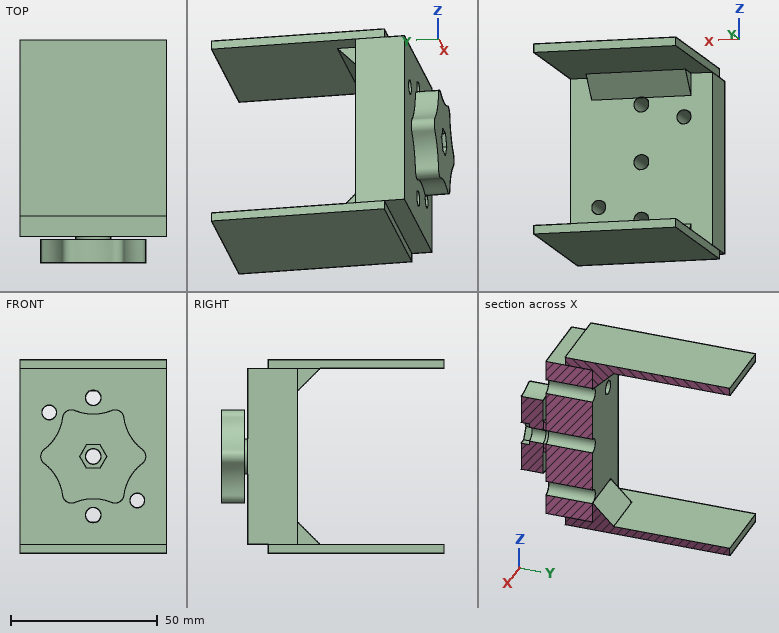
import cadquery as cq
import math

width = 50.0
block_height = 60.0
block_depth = 17.0
plate_length = 60.0
plate_thickness = 3.0
plate_overlap = 10.0

gusset_leg = 7.7
gusset_width = 35.0

axis_hole_diameter = 5.2
axis_hole_pitch = 20.0
corner_hole_diameter = 4.9
corner_hole_offset = 15.0

washer_diameter = 12.0
washer_thickness = 1.0
knob_thickness = 8.0
knob_lobes = 6
lobe_circle_radius = 14.9
lobe_radius = 3.0
valley_radius = 14.4
hex_across_flats = 8.0
hex_across_corners = hex_across_flats / math.cos(math.radians(30))
hex_depth = 3.0

block_back = block_depth
plate_front = block_depth - plate_overlap
knob_back = -washer_thickness
knob_front = knob_back - knob_thickness

lobe_step = 360.0 / knob_lobes
half_step = math.radians(lobe_step / 2)
spread_along = lobe_circle_radius * math.cos(half_step)
valley_arc_radius = (
    (lobe_circle_radius**2 + valley_radius**2 - 2 * spread_along * valley_radius - lobe_radius**2)
    / (2 * (lobe_radius + spread_along - valley_radius))
)
valley_centre_radius = valley_radius + valley_arc_radius
lobe_flare = math.degrees(
    math.atan2(
        valley_centre_radius * math.sin(half_step),
        valley_centre_radius * math.cos(half_step) - lobe_circle_radius,
    )
)


def rod(diameter, start, length, x=0.0, z=0.0):
    """Cylinder along +Y from the given start station."""
    base = cq.Workplane("XZ", origin=(x, start, z)).circle(diameter / 2)
    return base.extrude(-length)


def make_block():
    block = cq.Workplane("XY").box(width, block_depth, block_height, centered=(True, False, True))
    for z in (-axis_hole_pitch, 0.0, axis_hole_pitch):
        block = block.cut(rod(axis_hole_diameter, 0.0, block_depth, z=z))
    for side in (-1, 1):
        offset = side * corner_hole_offset
        block = block.cut(rod(corner_hole_diameter, 0.0, block_depth, x=offset, z=-offset))
    return block


def make_plate(side):
    """Plate with its gusset; side is +1 above the block and -1 below it."""
    inner = side * block_height / 2
    plate = (
        cq.Workplane("XY")
        .box(width, plate_length, plate_thickness, centered=(True, False, True))
        .translate((0, plate_front, inner + side * plate_thickness / 2))
    )
    gusset = (
        cq.Workplane("YZ")
        .moveTo(block_back, inner)
        .lineTo(block_back + gusset_leg, inner)
        .lineTo(block_back, inner - side * gusset_leg)
        .close()
        .extrude(gusset_width / 2, both=True)
    )
    return plate.union(gusset)


def make_washer():
    washer = rod(washer_diameter, knob_back, washer_thickness)
    return washer.cut(rod(axis_hole_diameter, knob_back, washer_thickness))


def polar(radius, degrees):
    angle = math.radians(degrees)
    return (radius * math.cos(angle), radius * math.sin(angle))


def lobe_point(lobe_angle, turn):
    """Point on a lobe tip arc, turned from the lobe's own radial direction."""
    centre = polar(lobe_circle_radius, lobe_angle)
    reach = polar(lobe_radius, lobe_angle + turn)
    return (centre[0] + reach[0], centre[1] + reach[1])


def make_knob():
    outline = cq.Workplane("XZ", origin=(0, knob_back, 0)).moveTo(*lobe_point(0.0, -lobe_flare))
    for i in range(knob_lobes):
        angle = i * lobe_step
        next_angle = angle + lobe_step
        outline = outline.threePointArc(lobe_point(angle, 0.0), lobe_point(angle, lobe_flare))
        valley = polar(valley_radius, angle + lobe_step / 2)
        outline = outline.threePointArc(valley, lobe_point(next_angle, -lobe_flare))
    knob = outline.close().extrude(knob_thickness)
    hex_recess = (
        cq.Workplane("XZ", origin=(0, knob_front, 0))
        .polygon(6, hex_across_corners)
        .extrude(-hex_depth)
    )
    bore = rod(axis_hole_diameter, knob_front, knob_thickness)
    return knob.cut(hex_recess).cut(bore)


block = make_block()
plates = [make_plate(side) for side in (1, -1)]
washer = make_washer()
knob = make_knob()

result = cq.Compound.makeCompound(
    [block.val(), *[plate.val() for plate in plates], washer.val(), knob.val()]
)